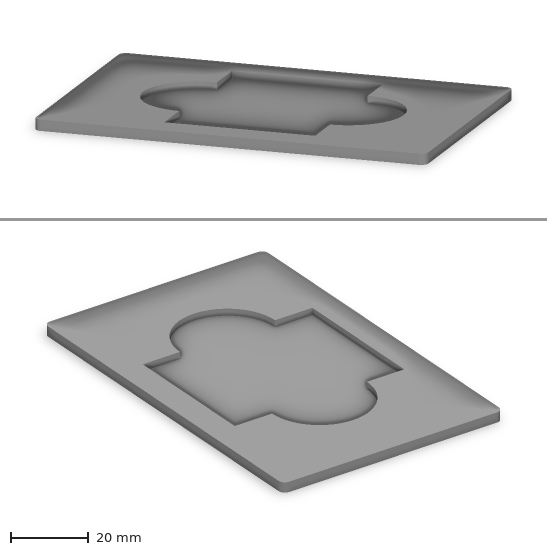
import cadquery as cq

plate_length = 107.0
plate_width = 69.5
plate_thickness = 3.0
corner_radius = 2.0

pocket_length = 41.1
pocket_width = 53.5
lobe_diameter = 30.0
pocket_depth = 2.0


def make_plate():
    """Flat plate standing on Z = 0 with rounded vertical corners."""
    plate = cq.Workplane("XY").rect(plate_length, plate_width).extrude(plate_thickness)
    return plate.edges("|Z").fillet(corner_radius)


def make_pocket():
    """Pocket volume, open at the top face of the plate."""
    floor = cq.Workplane("XY").workplane(offset=plate_thickness - pocket_depth)
    rectangle = floor.rect(pocket_length, pocket_width).extrude(pocket_depth)
    lobes = floor.slot2D(pocket_length + lobe_diameter, lobe_diameter).extrude(pocket_depth)
    return rectangle.union(lobes)


result = make_plate().cut(make_pocket())